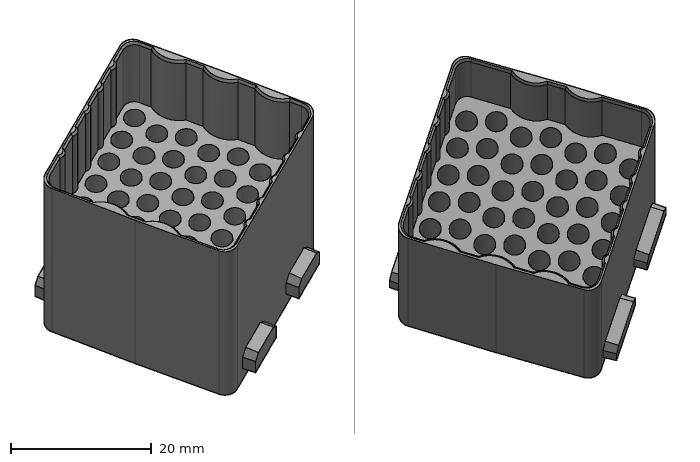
import cadquery as cq

total_length = 34.2
body_width = 30.2
body_depth = 29.35
body_height = 34.0
corner_radius = 2.0
face_lean = 0.15

floor_height = 20.08
cavity_half_width = 14.5
cavity_half_depth = 14.02
cavity_corner_radius = 1.78
rim_chamfer_width = 0.3
rim_chamfer_height = 0.4

large_rib_half_width = 2.75
large_rib_rise = 0.92
small_rib_half_width = 0.82
small_rib_rise = 0.35

hole_columns = 7
hole_rows = 6
column_pitch = 4.07
row_pitch = 4.3
outer_column_offset = 0.48
inner_column_offset = -0.72
hole_top_diameter = 3.08
hole_bottom_diameter = 2.77

tab_length = (total_length - body_width) / 2
tab_centre = 7.32
left_tab_width = 9.03
right_tab_width = 7.05
tab_bottom = 2.75
tab_top = 6.45
tab_corner = 1.05
tab_draft = 0.1


def column_x(column):
    return (column - (hole_columns - 1) / 2) * column_pitch


def row_y(row, offset):
    return offset + ((hole_rows - 1) / 2 - row) * row_pitch


def make_body():
    half_width = body_width / 2
    half_depth = body_depth / 2
    corner_y = half_depth - face_lean
    outline = [
        (-half_width, -corner_y),
        (0, -half_depth),
        (half_width, -corner_y),
        (half_width, corner_y),
        (0, half_depth),
        (-half_width, corner_y),
    ]
    body = cq.Workplane("XY").polyline(outline).close().extrude(body_height)
    return body.edges("|Z and (>X or <X)").fillet(corner_radius)


def rib_positions():
    """Wall point, inward direction, half width and rise of every rib."""
    ribs = []
    for column in (1, 3, 5):
        ribs.append((column_x(column), cavity_half_depth, 0, -1, large_rib_half_width, large_rib_rise))
    for column in (2, 4):
        ribs.append((column_x(column), -cavity_half_depth, 0, 1, large_rib_half_width, large_rib_rise))
    for row in range(hole_rows - 1):
        y = row_y(row + 0.5, outer_column_offset)
        for side in (-1, 1):
            ribs.append((side * cavity_half_width, y, -side, 0, small_rib_half_width, small_rib_rise))
    return ribs


def make_rib(x, y, inward_x, inward_y, half_width, rise):
    """Upright post whose round side rises from the wall and whose top narrows at the rim."""
    radius = (half_width**2 + rise**2) / (2 * rise)
    setback = radius - rise
    post = (
        cq.Workplane("XY", origin=(x - inward_x * setback, y - inward_y * setback, floor_height))
        .circle(radius)
        .extrude(body_height - floor_height)
    )
    return post.faces(">Z").chamfer(rim_chamfer_height, rim_chamfer_width)


def make_cavity():
    """Pocket that flares outward at the rim, less the ribs on its walls."""
    rim_half_width = cavity_half_width + rim_chamfer_width
    rim_half_depth = cavity_half_depth + rim_chamfer_width
    rim_radius = cavity_corner_radius + rim_chamfer_width
    wall_height = body_height - floor_height - rim_chamfer_height
    pocket = (
        cq.Workplane("XY", origin=(0, 0, floor_height))
        .sketch()
        .rect(2 * cavity_half_width, 2 * cavity_half_depth)
        .vertices()
        .fillet(cavity_corner_radius)
        .finalize()
        .extrude(wall_height)
    )
    lower = cq.Sketch().rect(2 * cavity_half_width, 2 * cavity_half_depth)
    lower = lower.vertices().fillet(cavity_corner_radius)
    upper = cq.Sketch().rect(2 * rim_half_width, 2 * rim_half_depth).vertices().fillet(rim_radius)
    flare = (
        cq.Workplane("XY", origin=(0, 0, floor_height + wall_height))
        .placeSketch(lower, upper.moved(cq.Location(cq.Vector(0, 0, rim_chamfer_height))))
        .loft()
    )
    cavity = pocket.union(flare)
    for position in rib_positions():
        cavity = cavity.cut(make_rib(*position))
    return cavity


def make_holes():
    centres = []
    for column in range(hole_columns):
        offset = inner_column_offset if column % 2 else outer_column_offset
        for row in range(hole_rows):
            centres.append((column_x(column), row_y(row, offset)))
    hole = cq.Solid.makeCone(hole_bottom_diameter / 2, hole_top_diameter / 2, floor_height)
    return cq.Workplane("XY").pushPoints(centres).eachpoint(lambda place: hole.moved(place))


def make_tab(x_side, y_side, width):
    """Tab with bevelled upper corners; its top and its outer end lean inward toward the tip."""
    inner = tab_centre - width / 2

    def section(x, inset):
        outer = tab_centre + width / 2 - inset
        top = tab_top - inset
        outline = [
            (inner, tab_bottom),
            (outer, tab_bottom),
            (outer, tab_top - tab_corner),
            (outer - tab_corner + inset, top),
            (inner + tab_corner - inset, top),
            (inner, tab_top - tab_corner),
        ]
        points = [cq.Vector(x_side * x, y_side * y, z) for y, z in outline]
        return cq.Wire.makePolygon(points, close=True)

    wall = body_width / 2
    tab = cq.Solid.makeLoft([section(wall, 0), section(wall + tab_length, tab_draft)], True)
    return cq.Workplane(tab)


result = make_body().cut(make_cavity()).cut(make_holes())
for y_side in (-1, 1):
    result = result.union(make_tab(-1, y_side, left_tab_width))
    result = result.union(make_tab(1, y_side, right_tab_width))